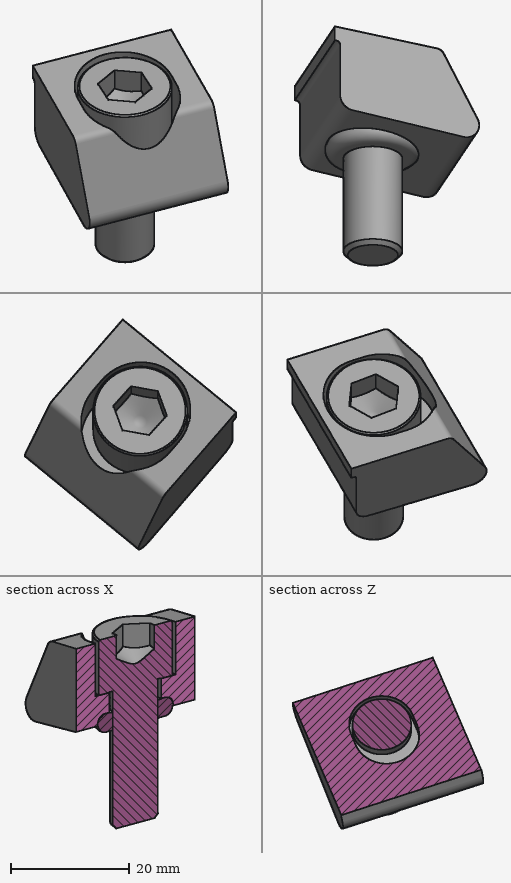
import cadquery as cq
import math


CLAMP_WIDTH = 25.4
LIP_X = -10.2
LIP_OVERHANG = 0.93
LIP_TOP_Z = 17.83
LIP_BOTTOM_Z = 15.2
LIP_FILLET = 0.8
NOSE_X = 15.18
NOSE_RADIUS = 2.5
HEEL_RADIUS = 2.5
BROW_RADIUS = 1.65
TOP_SLOPE = 6.0
BOTTOM_SLOPE = 7.5
FRONT_SLOPE = 62.5

SHANK_RADIUS = 5.0
SHANK_END_Z = -17.97
TIP_CHAMFER = 0.75
HEAD_RADIUS = 8.0
HEAD_HEIGHT = 10.0
HEAD_TOP_Z = 17.08
HEAD_BOTTOM_Z = HEAD_TOP_Z - HEAD_HEIGHT
HEAD_CHAMFER = 0.3
SOCKET_ACROSS_FLATS = 8.0
SOCKET_DEPTH = 4.0
SOCKET_CONE_SLOPE = 30.0

SLIDE = 2.25
HEAD_SLOT_RADIUS = 8.52
SHANK_SLOT_RADIUS = 5.5

WASHER_RADIUS = 8.1
WASHER_RIM_RADIUS = 1.7
WASHER_HEIGHT = 2 * WASHER_RIM_RADIUS


def tangent(degrees):
    return math.tan(math.radians(degrees))


def slide_slot(radius, bottom_z, top_z):
    """Vertical slot whose left end is centred on the screw axis."""
    return (
        cq.Workplane("XY", origin=(SLIDE / 2, 0, bottom_z))
        .slot2D(SLIDE + 2 * radius, 2 * radius)
        .extrude(top_z - bottom_z)
    )


def make_washer():
    rim_start = WASHER_RADIUS - WASHER_RIM_RADIUS
    return (
        cq.Workplane("XZ")
        .moveTo(SHANK_RADIUS, 0)
        .lineTo(rim_start, 0)
        .threePointArc((WASHER_RADIUS, WASHER_RIM_RADIUS), (rim_start, WASHER_HEIGHT))
        .lineTo(SHANK_RADIUS, WASHER_HEIGHT)
        .close()
        .revolve(360, (0, 0, 0), (0, 1, 0))
    )


def make_clamp_block():
    """Clamp profile extruded along Y, with its four long edges rounded."""
    back_x = LIP_X + LIP_OVERHANG
    nose_center_x = NOSE_X - NOSE_RADIUS
    nose_center_z = NOSE_RADIUS

    top_z = LIP_TOP_Z + LIP_X * tangent(TOP_SLOPE)
    bottom_z = (
        nose_center_z
        + nose_center_x * tangent(BOTTOM_SLOPE)
        - NOSE_RADIUS / math.cos(math.radians(BOTTOM_SLOPE))
    )
    front_z = (
        nose_center_z
        + nose_center_x * tangent(FRONT_SLOPE)
        + NOSE_RADIUS / math.cos(math.radians(FRONT_SLOPE))
    )

    brow_x = (front_z - top_z) / (tangent(FRONT_SLOPE) - tangent(TOP_SLOPE))
    brow_z = top_z - brow_x * tangent(TOP_SLOPE)
    nose_x = (front_z - bottom_z) / (tangent(FRONT_SLOPE) - tangent(BOTTOM_SLOPE))
    nose_z = bottom_z - nose_x * tangent(BOTTOM_SLOPE)
    heel_z = bottom_z - back_x * tangent(BOTTOM_SLOPE)

    block = (
        cq.Workplane("XZ")
        .polyline([
            (LIP_X, LIP_TOP_Z),
            (brow_x, brow_z),
            (nose_x, nose_z),
            (back_x, heel_z),
            (back_x, LIP_BOTTOM_Z),
            (LIP_X, LIP_BOTTOM_Z),
        ])
        .close()
        .extrude(CLAMP_WIDTH / 2, both=True)
    )
    rounded_edges = [
        (brow_x, brow_z, BROW_RADIUS),
        (nose_x, nose_z, NOSE_RADIUS),
        (back_x, heel_z, HEEL_RADIUS),
        (back_x, LIP_BOTTOM_Z, LIP_FILLET),
    ]
    for x, z, radius in rounded_edges:
        block = block.edges("|Y").edges(cq.NearestToPointSelector((x, 0, z))).fillet(radius)
    return block


def make_clamp(washer):
    head_slot = slide_slot(HEAD_SLOT_RADIUS, HEAD_BOTTOM_Z, LIP_TOP_Z)
    shank_slot = slide_slot(SHANK_SLOT_RADIUS, 0, HEAD_BOTTOM_Z)
    return make_clamp_block().cut(head_slot).cut(shank_slot).cut(washer)


def make_socket():
    """Hexagonal socket with a conical floor reaching the hexagon corners."""
    corner_radius = SOCKET_ACROSS_FLATS / math.sqrt(3)
    cone_depth = corner_radius * tangent(SOCKET_CONE_SLOPE)
    hexagon = (
        cq.Workplane("XY", origin=(0, 0, HEAD_TOP_Z))
        .polygon(6, 2 * corner_radius)
        .extrude(-(SOCKET_DEPTH + cone_depth))
    )
    drilled_shape = (
        cq.Workplane("XZ", origin=(0, 0, HEAD_TOP_Z))
        .polyline([
            (0, 0),
            (corner_radius, 0),
            (corner_radius, -SOCKET_DEPTH),
            (0, -SOCKET_DEPTH - cone_depth),
        ])
        .close()
        .revolve(360, (0, 0, 0), (0, 1, 0))
    )
    return hexagon.intersect(drilled_shape)


def make_screw():
    head = (
        cq.Workplane("XY", origin=(0, 0, HEAD_BOTTOM_Z))
        .circle(HEAD_RADIUS)
        .extrude(HEAD_HEIGHT)
        .faces(">Z").chamfer(HEAD_CHAMFER)
    )
    shank = (
        cq.Workplane("XY", origin=(0, 0, SHANK_END_Z))
        .circle(SHANK_RADIUS)
        .extrude(HEAD_BOTTOM_Z - SHANK_END_Z)
        .faces("<Z").chamfer(TIP_CHAMFER)
    )
    return head.union(shank).cut(make_socket())


washer = make_washer()
clamp = make_clamp(washer)
screw = make_screw()

bodies = [clamp, screw, washer]
result = cq.Compound.makeCompound([body.solids().val() for body in bodies])